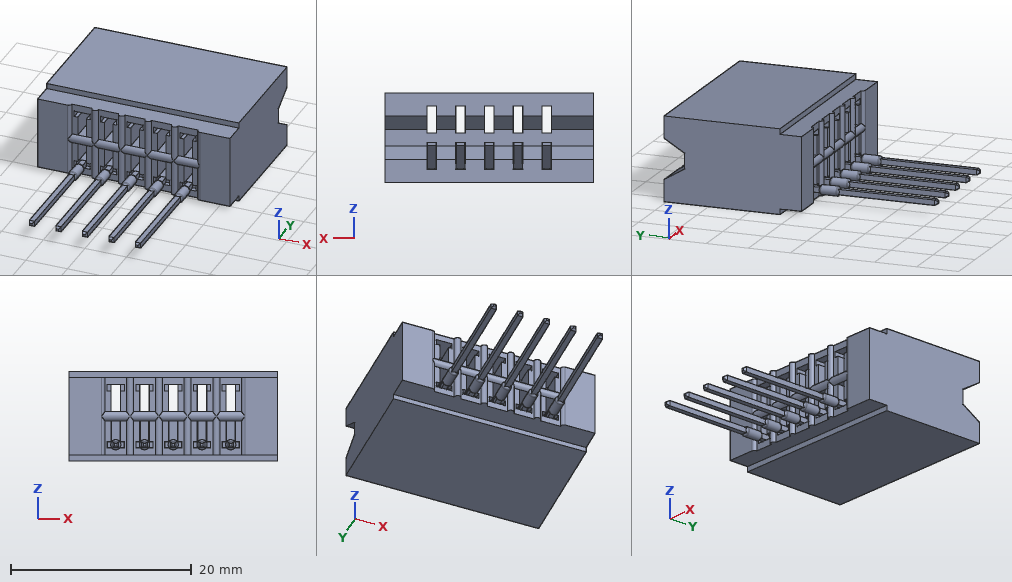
import cadquery as cq
OVERALL_LENGTH = 30.6

HOUSING_WIDTH = 23.1
HOUSING_DEPTH = 16.37
HOUSING_HEIGHT = 9.9
STEP_DEPTH = 2.57
STEP_HEIGHT = 0.65
NOSE_HEIGHT = HOUSING_HEIGHT - 2 * STEP_HEIGHT

GROOVE_MOUTH_HEIGHT = 4.77
GROOVE_FLOOR_HEIGHT = 1.85
GROOVE_DEPTH = 2.45

CONTACT_COUNT = 5
PITCH = 3.18
ROW_WIDTH = CONTACT_COUNT * PITCH
ROW_LEFT = -ROW_WIDTH / 2
ROW_HEIGHT = 3.15

RECESS_DEPTH = 0.4
BAR_HALF_HEIGHT = 0.55

SLOT_WIDTH = 1.05
KEYWAY_WIDTH = 1.9
KEYWAY_HEIGHT = 0.67
KEYWAY_END = 3.05
SLOT_OUTER_Z = ROW_HEIGHT + KEYWAY_HEIGHT / 2

WIRE_SIZE = 0.65
WIRE_TIP = OVERALL_LENGTH - HOUSING_DEPTH
TIP_TAPER = 0.18
TIP_TAPER_LENGTH = 0.3
BARREL_DIAMETER = 1.13
BARREL_END_RADIUS = 0.3
BARREL_TAPER_LENGTH = 0.25
BARREL_RIM_RADIUS = 0.12
BARREL_START = 0.15
BARREL_LENGTH = 2.45
PLATE_WIDTH = 1.85
PLATE_THICKNESS = 0.6
PLATE_FRONT = 0.92
BLADE_WIDTH = 0.98
BLADE_THICKNESS = 0.3
BLADE_END_Y = 7.83


def row_positions():
    return [ROW_LEFT + (index + 0.5) * PITCH for index in range(CONTACT_COUNT)]


def box_between(x_range, y_range, z_range):
    """Box spanning the given (low, high) ranges."""
    sizes = [high - low for low, high in (x_range, y_range, z_range)]
    corner = (x_range[0], y_range[0], z_range[0])
    return cq.Workplane("XY").box(*sizes, centered=False).translate(corner)


def housing_block():
    """Stepped block with the V groove, extruded from its side outline."""
    half_height = HOUSING_HEIGHT / 2
    half_nose = NOSE_HEIGHT / 2
    half_mouth = GROOVE_MOUTH_HEIGHT / 2
    half_floor = GROOVE_FLOOR_HEIGHT / 2
    groove_floor_y = HOUSING_DEPTH - GROOVE_DEPTH
    outline = [
        (0, -half_nose),
        (STEP_DEPTH, -half_nose),
        (STEP_DEPTH, -half_height),
        (HOUSING_DEPTH, -half_height),
        (HOUSING_DEPTH, -half_mouth),
        (groove_floor_y, -half_floor),
        (groove_floor_y, half_floor),
        (HOUSING_DEPTH, half_mouth),
        (HOUSING_DEPTH, half_height),
        (STEP_DEPTH, half_height),
        (STEP_DEPTH, half_nose),
        (0, half_nose),
    ]
    return cq.Workplane("YZ").polyline(outline).close().extrude(HOUSING_WIDTH / 2, both=True)


def recess():
    """Pocket across the contact row, open at the top and bottom of the nose."""
    half_row = ROW_WIDTH / 2
    half_nose = NOSE_HEIGHT / 2
    return box_between((-half_row, half_row), (0, RECESS_DEPTH), (-half_nose, half_nose))


def divider_rib(x):
    """Half-round vertical rib on the recess floor at position x."""
    return (
        cq.Workplane("XY")
        .moveTo(x - RECESS_DEPTH, RECESS_DEPTH)
        .threePointArc((x, 0), (x + RECESS_DEPTH, RECESS_DEPTH))
        .close()
        .extrude(NOSE_HEIGHT / 2, both=True)
    )


def cross_bar():
    """Rounded horizontal bar across the middle of the recess."""
    return (
        cq.Workplane("YZ")
        .moveTo(RECESS_DEPTH, -BAR_HALF_HEIGHT)
        .threePointArc((0, 0), (RECESS_DEPTH, BAR_HALF_HEIGHT))
        .close()
        .extrude(ROW_WIDTH / 2, both=True)
    )


def contact_slot(x):
    """Upper T slot at position x."""
    stem = box_between(
        (x - SLOT_WIDTH / 2, x + SLOT_WIDTH / 2),
        (RECESS_DEPTH, HOUSING_DEPTH),
        (BAR_HALF_HEIGHT, SLOT_OUTER_Z),
    )
    keyway = box_between(
        (x - KEYWAY_WIDTH / 2, x + KEYWAY_WIDTH / 2),
        (RECESS_DEPTH, KEYWAY_END),
        (SLOT_OUTER_Z - KEYWAY_HEIGHT, SLOT_OUTER_Z),
    )
    return stem.union(keyway)


def make_housing():
    housing = housing_block().cut(recess()).union(cross_bar())
    for index in range(CONTACT_COUNT + 1):
        housing = housing.union(divider_rib(ROW_LEFT + index * PITCH))
    for x in row_positions():
        slot = contact_slot(x)
        housing = housing.cut(slot).cut(slot.mirror("XY"))
    return housing


def contact_wire():
    """Square wire from the plate to a tapered tip."""
    wire = box_between(
        (-WIRE_SIZE / 2, WIRE_SIZE / 2),
        (-WIRE_TIP + TIP_TAPER_LENGTH, PLATE_FRONT),
        (-WIRE_SIZE / 2, WIRE_SIZE / 2),
    )
    tip_size = WIRE_SIZE - 2 * TIP_TAPER
    tip = (
        wire.faces("<Y")
        .workplane(centerOption="CenterOfMass")
        .rect(WIRE_SIZE, WIRE_SIZE)
        .workplane(offset=TIP_TAPER_LENGTH)
        .rect(tip_size, tip_size)
        .loft(combine=False)
    )
    return wire.union(tip)


def contact_barrel():
    """Round collar on the wire, tapered at both ends, with rounded rims."""
    end = BARREL_START + BARREL_LENGTH
    radius = BARREL_DIAMETER / 2
    half_profile = [
        (0, -BARREL_START),
        (BARREL_END_RADIUS, -BARREL_START),
        (radius, -BARREL_START - BARREL_TAPER_LENGTH),
        (radius, -end + BARREL_TAPER_LENGTH),
        (BARREL_END_RADIUS, -end),
        (0, -end),
    ]
    barrel = cq.Workplane("XY").polyline(half_profile).close().revolve(360, (0, 0), (0, 1))
    rims = cq.selectors.RadiusNthSelector(-1)
    return barrel.edges("%CIRCLE").edges(rims).fillet(BARREL_RIM_RADIUS)


def contact_plate():
    """Winged plate that fits the keyway."""
    return box_between(
        (-PLATE_WIDTH / 2, PLATE_WIDTH / 2),
        (PLATE_FRONT, KEYWAY_END),
        (-PLATE_THICKNESS / 2, PLATE_THICKNESS / 2),
    )


def contact_blade():
    """Spring blade sloping from the plate up to the wall between the slots."""
    start_y = KEYWAY_END - BLADE_THICKNESS
    base_z = -PLATE_THICKNESS / 2
    top_z = ROW_HEIGHT - BAR_HALF_HEIGHT
    outline = [
        (start_y, base_z),
        (start_y, base_z + PLATE_THICKNESS),
        (BLADE_END_Y, top_z),
        (BLADE_END_Y, top_z - BLADE_THICKNESS),
        (KEYWAY_END, base_z),
    ]
    return cq.Workplane("YZ").polyline(outline).close().extrude(BLADE_WIDTH / 2, both=True)


def make_contact(x):
    """Contact in the lower row at position x."""
    contact = contact_wire().union(contact_barrel()).union(contact_plate()).union(contact_blade())
    return contact.translate((x, 0, -ROW_HEIGHT))


housing = make_housing()
contacts = [make_contact(x) for x in row_positions()]
result = cq.Compound.makeCompound([housing.val(), *[contact.val() for contact in contacts]])